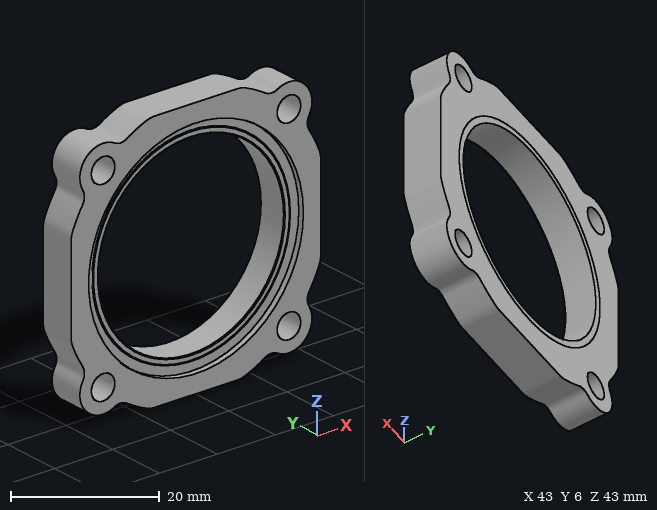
import cadquery as cq
import math

width = 43.0
thickness = 6.0
plate_radius = 22.88
flat_blend = 4.0
hole_offset = 16.0
hole_radius = 2.0
lug_radius = 4.0
lug_blend = 2.0

recess_radius = 18.5
recess_depth = 1.0

liner_outer_radius = 17.03
liner_bore_radius = 16.0
liner_chamfer = 0.15

front = -thickness / 2
recess_floor = front + recess_depth
liner_length = thickness - recess_depth

lug_centers = [(x * hole_offset, z * hole_offset) for x in (-1, 1) for z in (-1, 1)]


def disc(radius, start, length, centers=((0, 0),)):
    """Cylinders along Y at the given (x, z) centers, from Y = start toward +Y."""
    plane = cq.Plane(origin=(0, start, 0), xDir=(1, 0, 0), normal=(0, -1, 0))
    return cq.Workplane(plane).pushPoints(centers).circle(radius).extrude(-length)


def lug_corners():
    """(x, z) points where the lug circles cross the round edge of the plate."""
    distance = math.hypot(hole_offset, hole_offset)
    spread = math.acos(
        (plate_radius**2 + distance**2 - lug_radius**2) / (2 * plate_radius * distance)
    )
    corners = []
    for x, z in lug_centers:
        for side in (-1, 1):
            angle = math.atan2(z, x) + side * spread
            corners.append((plate_radius * math.cos(angle), plate_radius * math.sin(angle)))
    return corners


def make_flange_blank():
    """Solid flange outline with all its edge blends."""
    plate = disc(plate_radius, front, thickness)
    plate = plate.intersect(cq.Workplane("XY").box(width, thickness, width))
    plate = plate.edges("|Y").fillet(flat_blend)

    blank = plate.union(disc(lug_radius, front, thickness, lug_centers))
    for x, z in lug_corners():
        corner = cq.selectors.NearestToPointSelector((x, 0, z))
        blank = blank.edges("|Y").edges(corner).fillet(lug_blend)
    return blank


def make_flange():
    flange = make_flange_blank()
    flange = flange.cut(disc(recess_radius, front, recess_depth))
    flange = flange.cut(disc(liner_outer_radius, front, thickness))
    return flange.cut(disc(hole_radius, front, thickness, lug_centers))


def make_liner():
    """Plain ring with both edges of its front end chamfered."""
    ring = disc(liner_outer_radius, recess_floor, liner_length)
    ring = ring.cut(disc(liner_bore_radius, recess_floor, liner_length))
    return ring.faces("<Y").edges().chamfer(liner_chamfer)


flange = make_flange()
liner = make_liner()

result = cq.Compound.makeCompound([flange.solids().val(), liner.solids().val()])